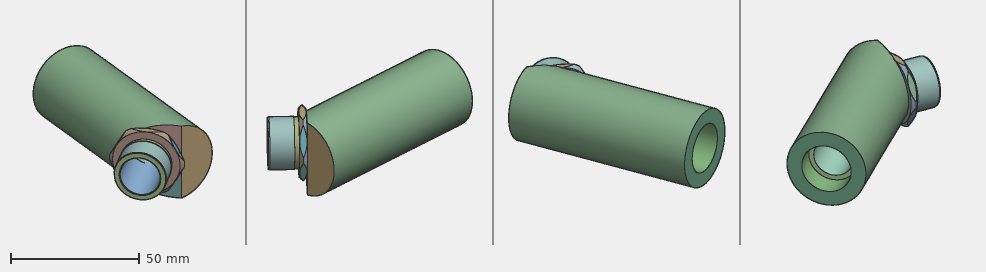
import cadquery as cq
import math

body_diameter = 32.0
body_length = 78.9
overall_length = 87.3
bore_diameter = 16.0
socket_diameter = 20.0
socket_depth = 10.0

spout_angle = 45.0
seat_distance = 11.1
spout_end_distance = 26.1

collar_thickness = 3.0
collar_across_flats = 27.0
collar_face_diameter = 26.9
bevel_angle = 45.0

thread_diameter = 20.9
relief_diameter = 20.5
relief_length = 1.8
end_chamfer_length = 0.5
end_chamfer_depth = 0.2
mouth_chamfer = 0.305

angle = math.radians(spout_angle)
end_radius = thread_diameter / 2 - end_chamfer_depth
elbow_x = overall_length - spout_end_distance * math.cos(angle) - end_radius * math.sin(angle)
spout_direction = cq.Vector(math.cos(angle), -math.sin(angle), 0)
spout_across = cq.Vector(math.sin(angle), math.cos(angle), 0)
elbow_point = cq.Vector(elbow_x, 0, 0)


def spout_plane(distance):
    """Workplane across the spout axis, its local X lying level."""
    origin = elbow_point + spout_direction * distance
    return cq.Workplane(cq.Plane(origin=origin, xDir=spout_across, normal=spout_direction))


def make_body():
    """Round tube blank, cut off square to the spout axis at the collar seat."""
    blank = cq.Workplane("YZ").circle(body_diameter / 2).extrude(body_length)
    removed = spout_plane(seat_distance).rect(2 * body_length, 2 * body_length).extrude(body_length)
    return blank.cut(removed)


def make_collar():
    """Hexagon with flats facing up and down, its corners bevelled at 45 degrees from both faces."""
    corner_diameter = collar_across_flats / math.cos(math.pi / 6)
    hexagon = spout_plane(seat_distance).polygon(6, corner_diameter).extrude(collar_thickness)
    half_thickness = collar_thickness / 2
    back_cone = (
        spout_plane(seat_distance)
        .circle(collar_face_diameter / 2)
        .extrude(half_thickness, taper=-bevel_angle)
    )
    front_cone = (
        spout_plane(seat_distance + collar_thickness)
        .circle(collar_face_diameter / 2)
        .extrude(-half_thickness, taper=-bevel_angle)
    )
    return hexagon.intersect(back_cone.union(front_cone))


def make_spout():
    """Short relief neck followed by the plain thread cylinder with a chamfered end."""
    relief_start = seat_distance + collar_thickness
    thread_start = relief_start + relief_length
    relief = spout_plane(relief_start).circle(relief_diameter / 2).extrude(relief_length)
    thread_length = spout_end_distance - end_chamfer_length - thread_start
    thread = spout_plane(thread_start).circle(thread_diameter / 2).extrude(thread_length)
    chamfer_angle = math.degrees(math.atan2(end_chamfer_depth, end_chamfer_length))
    tip = (
        spout_plane(spout_end_distance)
        .circle(end_radius)
        .extrude(-end_chamfer_length, taper=-chamfer_angle)
    )
    return relief.union(thread).union(tip)


def make_passage():
    """Mitred bore through tube and spout, with the entry socket and the bevelled mouth."""
    end_point = elbow_point + spout_direction * spout_end_distance
    path = cq.Workplane("XY").polyline([(0, 0), (elbow_x, 0), (end_point.x, end_point.y)])
    bore = cq.Workplane("YZ").circle(bore_diameter / 2).sweep(path, transition="right")
    socket = cq.Workplane("YZ").circle(socket_diameter / 2).extrude(socket_depth)
    mouth = (
        spout_plane(spout_end_distance)
        .circle(bore_diameter / 2 + mouth_chamfer)
        .extrude(-mouth_chamfer, taper=bevel_angle)
    )
    return bore.union(socket).union(mouth)


result = make_body().union(make_collar()).union(make_spout()).cut(make_passage())